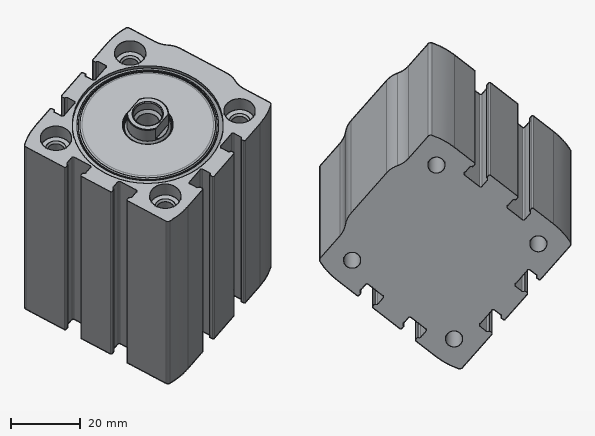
import cadquery as cq
import math

housing_height = 74.5
half_width = 26.5
side_flat_half = 18.5
corner_sweep_radius = 22.0
corner_round = 1.0

pad_rise = 2.0
pad_top_half = 8.0
pad_base_half = 15.5

slot_offset = 8.0
slot_mouth_width = 5.2
slot_inner_width = 6.5
slot_depth = 4.7
slot_lip = 1.3
slot_round = 0.5
slot_mouth_round = 0.4

hole_offset = 19.0
hole_diameter = 4.92
hole_chamfer_diameter = 6.1
counterbore_diameter = 9.0
counterbore_depth = 5.0

groove_diameter = 43.4
groove_depth = 1.1
ring_land_diameter = 40.8
ring_slope_angle = 30.0
cover_diameter = 40.0
cover_bevel_diameter = 39.0
cover_bevel_angle = 40.0
cover_face_diameter = 37.8
cover_face_bevel_angle = 15.0

rod_diameter = 12.0
rod_top = 79.5
rod_bottom = housing_height / 2
rod_edge_chamfer = 0.2
rod_flat_width = 10.0
rod_flat_length = 4.7
rod_flat_runout_angle = 30.0
rod_recess_diameter = 8.4
rod_recess_depth = 3.2
rod_recess_mouth_diameter = 9.0
thread_diameter = 6.65
thread_depth = 15.0
drill_point_angle = 118.0

wiper_mouth_diameter = 14.6
wiper_groove_diameter = 14.1
wiper_foot_diameter = 13.4
wiper_groove_depth = 1.2
wiper_lip_drop = 0.2


def rise(outer_diameter, inner_diameter, angle):
    """Height gained along a slope at this angle between two diameters."""
    return (outer_diameter - inner_diameter) / 2 * math.tan(math.radians(angle))


def revolve_profile(points):
    """Solid of revolution about Z from (radius, height) points."""
    return cq.Workplane("XZ").polyline(points).close().revolve(360, (0, 0, 0), (0, 1, 0))


def corner_inset(distance):
    """How far the side has curved in at this distance past its flat part."""
    return corner_sweep_radius - math.sqrt(corner_sweep_radius**2 - distance**2)


def make_block():
    sweep = half_width - side_flat_half
    corner_x = half_width - corner_inset(sweep)
    middle_x = half_width - corner_inset(sweep / 2)
    middle_y = side_flat_half + sweep / 2
    pad_y = half_width + pad_rise
    ease_x = (pad_base_half + pad_top_half) / 2
    ease_y = half_width + pad_rise / 2
    block = (
        cq.Workplane("XY")
        .moveTo(corner_x, -half_width)
        .threePointArc((middle_x, -middle_y), (half_width, -side_flat_half))
        .lineTo(half_width, side_flat_half)
        .threePointArc((middle_x, middle_y), (corner_x, half_width))
        .lineTo(pad_base_half, half_width)
        .tangentArcPoint((ease_x, ease_y), relative=False)
        .tangentArcPoint((pad_top_half, pad_y), relative=False)
        .lineTo(0, pad_y)
        .lineTo(0, -half_width)
        .close()
        .extrude(housing_height)
    )
    corners = cq.selectors.BoxSelector(
        (corner_x - 1, -half_width - 1, 0), (corner_x + 1, half_width + 1, housing_height)
    )
    block = block.edges("|Z").edges(corners).fillet(corner_round)
    return block.union(block.mirror("YZ"))


def make_slot():
    """Undercut slot opening on the -Y face, centred on X = 0, with rounded mouth edges."""
    inner_depth = slot_depth - slot_lip
    inner = (
        cq.Workplane("XY")
        .center(0, slot_lip + inner_depth / 2)
        .rect(slot_inner_width, inner_depth)
        .extrude(housing_height)
        .edges("|Z")
        .fillet(slot_round)
    )
    mouth_half = slot_mouth_width / 2
    flare_half = mouth_half + slot_mouth_round
    arc_offset = slot_mouth_round * math.sqrt(0.5)
    arc_y = slot_mouth_round - arc_offset
    arc_half = flare_half - arc_offset
    mouth = (
        cq.Workplane("XY")
        .moveTo(-flare_half, 0)
        .threePointArc((-arc_half, arc_y), (-mouth_half, slot_mouth_round))
        .lineTo(-mouth_half, slot_depth)
        .lineTo(mouth_half, slot_depth)
        .lineTo(mouth_half, slot_mouth_round)
        .threePointArc((arc_half, arc_y), (flare_half, 0))
        .close()
        .extrude(housing_height)
    )
    return inner.union(mouth).translate((0, -half_width, 0))


def cut_slots(block):
    for face_angle in (0, 90, -90):
        for x in (-slot_offset, slot_offset):
            slot = make_slot().translate((x, 0, 0)).rotate((0, 0, 0), (0, 0, 1), face_angle)
            block = block.cut(slot)
    return block


def cut_mounting_holes(block):
    chamfer = (hole_chamfer_diameter - hole_diameter) / 2
    floor = housing_height - counterbore_depth
    hole = revolve_profile([
        (0, 0),
        (hole_diameter / 2, 0),
        (hole_diameter / 2, floor - chamfer),
        (hole_chamfer_diameter / 2, floor),
        (counterbore_diameter / 2, floor),
        (counterbore_diameter / 2, housing_height),
        (0, housing_height),
    ])
    for x in (-hole_offset, hole_offset):
        for y in (-hole_offset, hole_offset):
            block = block.cut(hole.translate((x, y, 0)))
    return block


def cut_cover_groove(block):
    floor = housing_height - groove_depth
    land = floor + rise(groove_diameter, ring_land_diameter, ring_slope_angle)
    bevel = housing_height - rise(cover_bevel_diameter, cover_face_diameter, cover_face_bevel_angle)
    cover_edge = bevel - rise(cover_diameter, cover_bevel_diameter, cover_bevel_angle)
    groove = revolve_profile([
        (groove_diameter / 2, housing_height),
        (groove_diameter / 2, floor),
        (ring_land_diameter / 2, land),
        (cover_diameter / 2, land),
        (cover_diameter / 2, cover_edge),
        (cover_bevel_diameter / 2, bevel),
        (cover_face_diameter / 2, housing_height),
    ])
    return block.cut(groove)


def cut_rod_hole(block):
    """Blind hole for the rod, opening into the wiper groove."""
    groove_floor = housing_height - wiper_groove_depth
    mouth_chamfer = (wiper_mouth_diameter - wiper_groove_diameter) / 2
    hole = revolve_profile([
        (0, rod_bottom),
        (rod_diameter / 2, rod_bottom),
        (rod_diameter / 2, housing_height - wiper_lip_drop),
        (wiper_foot_diameter / 2, groove_floor),
        (wiper_groove_diameter / 2, groove_floor),
        (wiper_groove_diameter / 2, housing_height - mouth_chamfer),
        (wiper_mouth_diameter / 2, housing_height),
        (0, housing_height),
    ])
    return block.cut(hole)


def make_housing():
    block = cut_slots(make_block())
    block = cut_mounting_holes(block)
    block = cut_cover_groove(block)
    return cut_rod_hole(block)


def cut_thread_hole(rod):
    recess_floor = rod_top - rod_recess_depth
    mouth_chamfer = (rod_recess_mouth_diameter - rod_recess_diameter) / 2
    thread_chamfer = (rod_recess_diameter - thread_diameter) / 2
    point_height = thread_diameter / 2 / math.tan(math.radians(drill_point_angle / 2))
    hole = revolve_profile([
        (0, rod_top),
        (rod_recess_mouth_diameter / 2, rod_top),
        (rod_recess_diameter / 2, rod_top - mouth_chamfer),
        (rod_recess_diameter / 2, recess_floor),
        (thread_diameter / 2, recess_floor - thread_chamfer),
        (thread_diameter / 2, rod_top - thread_depth),
        (0, rod_top - thread_depth - point_height),
    ])
    return rod.cut(hole)


def cut_wrench_flats(rod):
    """Two opposite flats whose lower ends slope out to the round surface."""
    inner_x = rod_flat_width / 2
    outer_x = rod_diameter / 2
    flat_bottom = rod_top - rod_flat_length
    flat = (
        cq.Workplane("XZ")
        .polyline([
            (inner_x, rod_top),
            (inner_x, flat_bottom),
            (outer_x, flat_bottom - rise(rod_diameter, rod_flat_width, rod_flat_runout_angle)),
            (outer_x, rod_top),
        ])
        .close()
        .extrude(rod_diameter / 2, both=True)
    )
    return rod.cut(flat).cut(flat.mirror("YZ"))


def make_rod():
    rod = (
        cq.Workplane("XY", origin=(0, 0, rod_bottom))
        .circle(rod_diameter / 2)
        .extrude(rod_top - rod_bottom)
        .faces(">Z")
        .edges()
        .chamfer(rod_edge_chamfer)
    )
    return cut_thread_hole(cut_wrench_flats(rod))


housing = make_housing()
rod = make_rod()
result = cq.Compound.makeCompound([housing.val(), rod.val()])